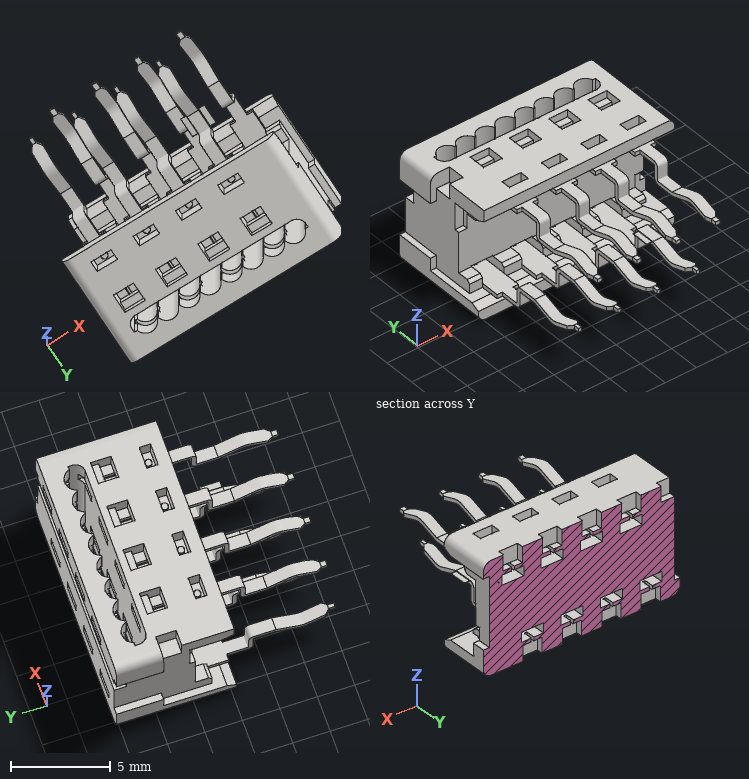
import cadquery as cq
import math


WIDTH = 12.67
HEIGHT = 7.0
HALF_WIDTH = WIDTH / 2
HALF_HEIGHT = HEIGHT / 2
CORNER_RADIUS = 0.53

BODY_WIDTH = 11.91
BODY_DEPTH = 4.35
BODY_SIDE = BODY_WIDTH / 2

COVER_DEPTH = 6.42
COVER_INNER_Z = 2.53
LIP_BEVEL_DEPTH = 0.52
LIP_BEVEL_HEIGHT = 0.24

SIDE_WALL_DEPTH = 2.52
SIDE_WALL_INNER_Z = 1.75

TOOTH_DEPTH = 5.23
TOOTH_INNER_Z = SIDE_WALL_INNER_Z
TOOTH_CHAMFER = 0.19

BACK_GROOVE_DEPTH = 0.66
BACK_GROOVE_LOW_Z = 0.47
BACK_GROOVE_HIGH_Z = 1.35

RECESS_DEPTH = 4.04
RECESS_NARROW_WIDTH = 0.55
UPPER_RECESS_HEIGHT = 1.7
LOWER_RECESS_HEIGHT = 1.57
RECESS_WIDE_WIDTH = 0.85
RECESS_WIDE_HEIGHT = 0.39

NOTCH_END_DEPTH = 3.61
NOTCH_INNER_X = 5.09

PITCH = 1.27
WIRE_COUNT = 8
WIRE_X = [(i - (WIRE_COUNT - 1) / 2) * PITCH for i in range(WIRE_COUNT)]
UPPER_ROW_X = WIRE_X[1::2]
LOWER_ROW_X = WIRE_X[0::2]
CHANNEL_WIDTH = 1.38
CHANNEL_INNER_Z = 1.7

THICKNESS = 0.25
PIN_WIDTH = 0.7
BLADE_BACK_DEPTH = SIDE_WALL_DEPTH
FORK_WIDTH = 0.16
FORK_END_DEPTH = 3.8
BUMP_DEPTH = 5.4
BUMP_RADIUS = 0.19
BUMP_HEIGHT = 0.13

BEND_INNER_RADIUS = 0.06
BEND_OUTER_RADIUS = BEND_INNER_RADIUS + THICKNESS
RISER_DEPTH = 7.59
PIN_DROP = 1.13
LONG_PIN_DROP = 1.17
SLOPE_START_DEPTH = 9.01
CREST_DEPTH = 10.49
CREST_HALF_LENGTH = 0.34
SLOPE_ANGLE = math.radians(18.6)
TAPER_DEPTH = 11.68
TIP_START_DEPTH = 2 * CREST_DEPTH - SLOPE_START_DEPTH
TIP_END_DEPTH = 12.3
UPPER_TIP_WIDTH = 0.3
LOWER_TIP_WIDTH = 0.22

WING_WIDTH = 1.42
WING_START_DEPTH = 7.9
WING_END_DEPTH = 9.02
WING_THICKNESS = 0.03
WING_SETBACK = 0.01

WIRE_SLOT_WIDTH = 10.41
WIRE_SLOT_BACK_DEPTH = 1.38
WIRE_SLOT_FRONT_DEPTH = 2.12
WIRE_SLOT_RADIUS = 0.53
SCALLOP_RADIUS = 0.62
SCALLOP_CENTER_DEPTH = 1.56

WINDOW_WIDTH = 1.2
REAR_WINDOW_START = SIDE_WALL_DEPTH
REAR_WINDOW_END = 3.61
REAR_LEDGE_END = 2.95
REAR_LEDGE_Z = 3.04
FRONT_WINDOW_START = 5.12
FRONT_WINDOW_END = 5.71


def block(x_range, depth_range, z_range):
    """Box between two x values, two depths and two heights."""
    x0, x1 = x_range
    d0, d1 = depth_range
    z0, z1 = z_range
    return cq.Workplane("XY").box(x1 - x0, d1 - d0, z1 - z0, centered=False).translate((x0, -d1, z0))


def centered_block(x, width, depth_range, z_range):
    return block((x - width / 2, x + width / 2), depth_range, z_range)


def side_profile(points, width):
    """Extrude a (depth, z) outline symmetrically about x = 0."""
    outline = [(-depth, z) for depth, z in points]
    return cq.Workplane("YZ").polyline(outline).close().extrude(width / 2, both=True)


def turned(shape):
    """Half turn about the Y axis: carries an upper feature to the lower side."""
    return shape.rotate((0, 0, 0), (0, 1, 0), 180)


def both_sides(shape):
    return shape.union(turned(shape))


def cover():
    plate = side_profile(
        [
            (0, HALF_HEIGHT),
            (COVER_DEPTH, HALF_HEIGHT),
            (COVER_DEPTH, COVER_INNER_Z + LIP_BEVEL_HEIGHT),
            (COVER_DEPTH - LIP_BEVEL_DEPTH, COVER_INNER_Z),
            (0, COVER_INNER_Z),
        ],
        WIDTH,
    )
    walls = centered_block(0, WIDTH, (0, SIDE_WALL_DEPTH), (SIDE_WALL_INNER_Z, HALF_HEIGHT))
    return plate.union(walls).edges("|Y and >Z").fillet(CORNER_RADIUS)


def tooth_bar():
    return side_profile(
        [
            (0, COVER_INNER_Z),
            (TOOTH_DEPTH, COVER_INNER_Z),
            (TOOTH_DEPTH, TOOTH_INNER_Z + TOOTH_CHAMFER),
            (TOOTH_DEPTH - TOOTH_CHAMFER, TOOTH_INNER_Z),
            (0, TOOTH_INNER_Z),
        ],
        BODY_WIDTH,
    )


def keying_recess(narrow_height):
    depths = (RECESS_DEPTH, TOOTH_DEPTH)
    narrow = block(
        (-BODY_SIDE, -BODY_SIDE + RECESS_NARROW_WIDTH),
        depths,
        (COVER_INNER_Z - narrow_height, COVER_INNER_Z),
    )
    wide = block(
        (-BODY_SIDE, -BODY_SIDE + RECESS_WIDE_WIDTH),
        depths,
        (COVER_INNER_Z - RECESS_WIDE_HEIGHT, COVER_INNER_Z),
    )
    return narrow.union(wide)


def polarising_notch():
    z_range = (COVER_INNER_Z, HALF_HEIGHT)
    pocket = block((-HALF_WIDTH, -NOTCH_INNER_X), (SIDE_WALL_DEPTH, NOTCH_END_DEPTH), z_range)
    edge_strip = block((-HALF_WIDTH, -BODY_SIDE), (SIDE_WALL_DEPTH, COVER_DEPTH), z_range)
    return pocket.union(edge_strip)


def wire_slot():
    z_range = (-HALF_HEIGHT, HALF_HEIGHT)
    slot = centered_block(0, WIRE_SLOT_WIDTH, (WIRE_SLOT_BACK_DEPTH, WIRE_SLOT_FRONT_DEPTH), z_range)
    slot = slot.edges("|Z and <Y").fillet(WIRE_SLOT_RADIUS)
    centers = [(x, -SCALLOP_CENTER_DEPTH) for x in WIRE_X]
    scallops = cq.Workplane("XY").pushPoints(centers).circle(SCALLOP_RADIUS).extrude(HALF_HEIGHT, both=True)
    scallop_limit = centered_block(0, WIRE_SLOT_WIDTH, (0, WIRE_SLOT_FRONT_DEPTH), z_range)
    return slot.union(scallops.intersect(scallop_limit))


def contact_openings(x):
    """Channel for one upper contact and the two windows above it."""
    blade_inner_z = COVER_INNER_Z - THICKNESS
    channel = centered_block(x, CHANNEL_WIDTH, (0, TOOTH_DEPTH), (CHANNEL_INNER_Z, blade_inner_z))
    blade_seat = centered_block(
        x, CHANNEL_WIDTH, (BLADE_BACK_DEPTH, TOOTH_DEPTH), (blade_inner_z, COVER_INNER_Z)
    )
    rear_window = centered_block(
        x, WINDOW_WIDTH, (REAR_WINDOW_START, REAR_WINDOW_END), (COVER_INNER_Z, HALF_HEIGHT)
    )
    ledge = centered_block(
        x, WINDOW_WIDTH, (REAR_WINDOW_START, REAR_LEDGE_END), (COVER_INNER_Z, REAR_LEDGE_Z)
    )
    front_window = centered_block(
        x, WINDOW_WIDTH, (FRONT_WINDOW_START, FRONT_WINDOW_END), (COVER_INNER_Z, HALF_HEIGHT)
    )
    return channel.union(blade_seat).union(rear_window.cut(ledge)).union(front_window)


def housing():
    shape = centered_block(0, BODY_WIDTH, (0, BODY_DEPTH), (-COVER_INNER_Z, COVER_INNER_Z))
    shape = shape.union(both_sides(cover())).union(both_sides(tooth_bar()))

    shape = shape.union(
        block((BODY_SIDE, HALF_WIDTH), (0, RECESS_DEPTH), (-COVER_INNER_Z, -SIDE_WALL_INNER_Z))
    )

    shape = shape.cut(keying_recess(UPPER_RECESS_HEIGHT)).cut(turned(keying_recess(LOWER_RECESS_HEIGHT)))
    shape = shape.cut(polarising_notch()).cut(wire_slot())
    for x in UPPER_ROW_X:
        shape = shape.cut(both_sides(contact_openings(x)))
    return shape.cut(
        centered_block(0, BODY_WIDTH, (0, BACK_GROOVE_DEPTH), (BACK_GROOVE_LOW_Z, BACK_GROOVE_HIGH_Z))
    )


def blade():
    """Wide flat part of a contact, held against the cover."""
    z_range = (COVER_INNER_Z - THICKNESS, COVER_INNER_Z)
    plate = centered_block(0, CHANNEL_WIDTH, (BLADE_BACK_DEPTH, COVER_DEPTH), z_range)
    fork = centered_block(0, FORK_WIDTH, (BLADE_BACK_DEPTH, FORK_END_DEPTH), z_range)
    bump = (
        cq.Workplane("XY", origin=(0, -BUMP_DEPTH, COVER_INNER_Z))
        .circle(BUMP_RADIUS)
        .extrude(BUMP_HEIGHT)
    )
    return plate.cut(fork).union(bump)


def pin_strip(drop):
    """Bent strip from the blade to the pin tip, with its outline traced along both faces."""
    top = COVER_INNER_Z
    flat_top = top - drop
    riser_front = RISER_DEPTH + THICKNESS
    bend_start = RISER_DEPTH - BEND_INNER_RADIUS
    bend_end = riser_front + BEND_INNER_RADIUS

    slope = math.tan(SLOPE_ANGLE)
    corner_shift = THICKNESS * math.tan(SLOPE_ANGLE / 2)
    shoulder_rise = (CREST_DEPTH - CREST_HALF_LENGTH - SLOPE_START_DEPTH) * slope
    crest_rise = shoulder_rise + CREST_HALF_LENGTH * math.tan(SLOPE_ANGLE / 2)
    lower_half_length = CREST_HALF_LENGTH - THICKNESS * math.sin(SLOPE_ANGLE)
    lower_shoulder_rise = shoulder_rise - THICKNESS * math.cos(SLOPE_ANGLE)
    lower_crest_rise = crest_rise - THICKNESS

    def at(depth, z):
        return (-depth, z)

    return (
        cq.Workplane("YZ")
        .moveTo(*at(COVER_DEPTH, top))
        .lineTo(*at(bend_start, top))
        .tangentArcPoint(at(riser_front, top - BEND_OUTER_RADIUS), relative=False)
        .lineTo(*at(riser_front, flat_top + BEND_INNER_RADIUS))
        .tangentArcPoint(at(bend_end, flat_top), relative=False)
        .lineTo(*at(SLOPE_START_DEPTH, flat_top))
        .lineTo(*at(CREST_DEPTH - CREST_HALF_LENGTH, flat_top + shoulder_rise))
        .threePointArc(
            at(CREST_DEPTH, flat_top + crest_rise),
            at(CREST_DEPTH + CREST_HALF_LENGTH, flat_top + shoulder_rise),
        )
        .lineTo(*at(TIP_START_DEPTH, flat_top))
        .lineTo(*at(TIP_END_DEPTH, flat_top))
        .lineTo(*at(TIP_END_DEPTH, flat_top - THICKNESS))
        .lineTo(*at(TIP_START_DEPTH - corner_shift, flat_top - THICKNESS))
        .lineTo(*at(CREST_DEPTH + lower_half_length, flat_top + lower_shoulder_rise))
        .threePointArc(
            at(CREST_DEPTH, flat_top + lower_crest_rise),
            at(CREST_DEPTH - lower_half_length, flat_top + lower_shoulder_rise),
        )
        .lineTo(*at(SLOPE_START_DEPTH + corner_shift, flat_top - THICKNESS))
        .lineTo(*at(bend_end, flat_top - THICKNESS))
        .tangentArcPoint(at(RISER_DEPTH, flat_top + BEND_INNER_RADIUS), relative=False)
        .lineTo(*at(RISER_DEPTH, top - BEND_OUTER_RADIUS))
        .tangentArcPoint(at(bend_start, top - THICKNESS), relative=False)
        .lineTo(*at(COVER_DEPTH, top - THICKNESS))
        .close()
        .extrude(PIN_WIDTH / 2, both=True)
    )


def pin_plan(tip_width):
    """Prism of the pin seen from above, which tapers the strip to its tip."""
    right_side = [
        (PIN_WIDTH / 2, -COVER_DEPTH),
        (PIN_WIDTH / 2, -TAPER_DEPTH),
        (tip_width / 2, -TIP_START_DEPTH),
        (tip_width / 2, -TIP_END_DEPTH),
    ]
    left_side = [(-x, y) for x, y in reversed(right_side)]
    return cq.Workplane("XY").polyline(right_side + left_side).close().extrude(HALF_HEIGHT)


def contact(tip_width, drop=PIN_DROP):
    return blade().union(pin_strip(drop).intersect(pin_plan(tip_width)))


def wing():
    """Thin flap beside the flat of the long-drop pin, in the lower position."""
    top = LONG_PIN_DROP - COVER_INNER_Z + THICKNESS - WING_SETBACK
    return centered_block(0, WING_WIDTH, (WING_START_DEPTH, WING_END_DEPTH), (top - WING_THICKNESS, top))


result = housing()
upper_contact = contact(UPPER_TIP_WIDTH)
lower_contact = turned(contact(LOWER_TIP_WIDTH))
winged_contact = turned(contact(LOWER_TIP_WIDTH, LONG_PIN_DROP)).union(wing())

for x in UPPER_ROW_X:
    result = result.union(upper_contact.translate((x, 0, 0)))

for x in LOWER_ROW_X[:-1]:
    result = result.union(lower_contact.translate((x, 0, 0)))
result = result.union(winged_contact.translate((LOWER_ROW_X[-1], 0, 0)))